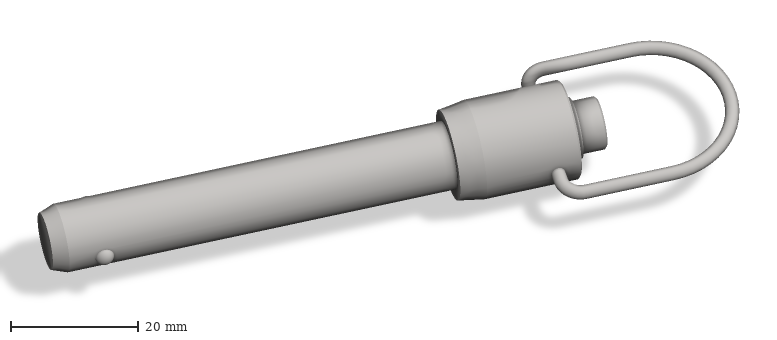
import cadquery as cq


overall_length = 112.5
tip_taper_length = 2.5
ball_setback = 8.2
tip_y = -overall_length / 2
loop_top_y = overall_length / 2
tip_taper_y = tip_y + tip_taper_length
ball_y = tip_y + ball_setback
nose_y = 9.3
nose_start_y = 13.5
body_top_y = 29.0
collar_top_y = 30.0
button_top_y = 34.2

shaft_radius = 5.5
tip_radius = 4.6
body_radius = 8.0
nose_radius = 7.3
collar_radius = 5.0
button_radius = 4.3
body_edge_chamfer = 0.3
button_edge_chamfer = 0.3

ball_radius = 1.6
ball_reach = 6.6

wire_diameter = 2.3
loop_width = 27.7
loop_radius = (loop_width - wire_diameter) / 2
loop_arc_y = loop_top_y - wire_diameter / 2 - loop_radius
bend_radius = 3.2
wire_end_y = 25.1
wire_embedment = 2.3
wire_end_x = body_radius - wire_embedment


def make_turned_pin():
    """Revolve the shaft, handle body, collar and release button as one profile."""
    return (
        cq.Workplane("XY")
        .moveTo(0, tip_y)
        .lineTo(tip_radius, tip_y)
        .lineTo(shaft_radius, tip_taper_y)
        .lineTo(shaft_radius, nose_y)
        .lineTo(nose_radius, nose_y)
        .lineTo(body_radius, nose_start_y)
        .lineTo(body_radius, body_top_y - body_edge_chamfer)
        .lineTo(body_radius - body_edge_chamfer, body_top_y)
        .lineTo(collar_radius, body_top_y)
        .lineTo(collar_radius, collar_top_y)
        .lineTo(button_radius, collar_top_y)
        .lineTo(button_radius, button_top_y - button_edge_chamfer)
        .lineTo(button_radius - button_edge_chamfer, button_top_y)
        .lineTo(0, button_top_y)
        .close()
        .revolve(360, (0, 0, 0), (0, 1, 0))
    )


def make_ball(side):
    """Locking ball standing out of the shaft on the given X side."""
    center_x = side * (ball_reach - ball_radius)
    return cq.Workplane("XY").sphere(ball_radius).translate((center_x, ball_y, 0))


def make_wire_loop():
    """Sweep the round wire from one side of the body over the top to the other."""
    bend_start_y = wire_end_y + bend_radius
    bend_x = loop_radius - bend_radius
    path = (
        cq.Workplane("XY")
        .moveTo(-wire_end_x, wire_end_y)
        .lineTo(-bend_x, wire_end_y)
        .tangentArcPoint((-loop_radius, bend_start_y), relative=False)
        .lineTo(-loop_radius, loop_arc_y)
        .threePointArc((0, loop_arc_y + loop_radius), (loop_radius, loop_arc_y))
        .lineTo(loop_radius, bend_start_y)
        .tangentArcPoint((bend_x, wire_end_y), relative=False)
        .lineTo(wire_end_x, wire_end_y)
    )
    return (
        cq.Workplane("YZ", origin=(-wire_end_x, wire_end_y, 0))
        .circle(wire_diameter / 2)
        .sweep(path)
    )


result = make_turned_pin().union(make_wire_loop())
for ball_side in (-1, 1):
    result = result.union(make_ball(ball_side))